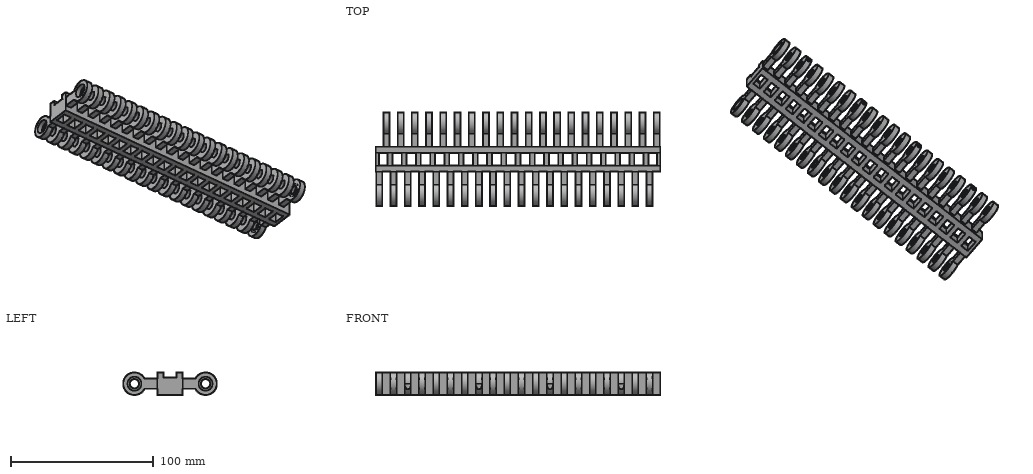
import cadquery as cq
length = 200.0
height = 16.0
pitch = 10.0
knuckle_count = int(length / pitch)
mid_height = height / 2

spine_width = 17.5
channel_width = 9.0
channel_depth = 3.5
window_length = 6.5
window_width = 8.5
end_wall = 2.5

knuckle_radius = height / 2
knuckle_clearance = 0.3
knuckle_width = pitch / 2 - 2 * knuckle_clearance
knuckle_offset = 25.0
arm_height = 7.5
bore_diameter = 6.5

recess_diameter = 9.8
recess_depth = 3.5

notch_radius = 2.8
notch_depth = 1.0
first_notched = 2
notch_interval = 5


def make_spine():
    """Bar with a full-length top channel and a row of windows through its floor."""
    spine = cq.Workplane("XY").box(length, spine_width, height, centered=(False, True, False))
    channel = (
        cq.Workplane("XY")
        .workplane(offset=height - channel_depth)
        .box(length, channel_width, channel_depth, centered=(False, True, False))
    )
    window_centres = [((i + 0.5) * pitch, 0) for i in range(knuckle_count)]
    windows = (
        cq.Workplane("XY")
        .pushPoints(window_centres)
        .rect(window_length, window_width)
        .extrude(height)
    )
    window_zone = cq.Workplane("XY").box(length - 2 * end_wall, window_width, height).translate(
        (length / 2, 0, mid_height)
    )
    return spine.cut(channel).cut(windows.intersect(window_zone))


def disc(x_start, y_centre, diameter, width):
    """Cylinder along X, centred on a hinge axis."""
    return (
        cq.Workplane("YZ", origin=(x_start, y_centre, mid_height))
        .circle(diameter / 2)
        .extrude(width)
    )


def make_knuckle(x_start, side):
    """Bored ring and arm on one side (-1 front, +1 back), reaching the spine wall."""
    y_axis = side * knuckle_offset
    arm_length = knuckle_offset - spine_width / 2
    arm = cq.Workplane("XY").box(knuckle_width, arm_length, arm_height).translate(
        (x_start + knuckle_width / 2, y_axis - side * arm_length / 2, mid_height)
    )
    knuckle = arm.union(disc(x_start, y_axis, 2 * knuckle_radius, knuckle_width))
    return knuckle.cut(disc(x_start, y_axis, bore_diameter, knuckle_width))


def make_row(row_start, side):
    """List of the knuckles of one row, with recesses in the two outer end faces."""
    starts = [row_start + i * pitch for i in range(knuckle_count)]
    knuckles = [make_knuckle(x_start, side) for x_start in starts]
    y_axis = side * knuckle_offset
    last_recess_start = starts[-1] + knuckle_width - recess_depth
    knuckles[0] = knuckles[0].cut(disc(starts[0], y_axis, recess_diameter, recess_depth))
    knuckles[-1] = knuckles[-1].cut(disc(last_recess_start, y_axis, recess_diameter, recess_depth))
    return knuckles


def make_notch(x_centre):
    """Upright cutter that scoops the lower half of a front knuckle's outer rim."""
    y_centre = -(knuckle_offset + knuckle_radius - notch_depth + notch_radius)
    return cq.Workplane("XY").center(x_centre, y_centre).circle(notch_radius).extrude(mid_height)


front_start = knuckle_clearance
back_start = front_start + pitch / 2

result = make_spine()
for knuckle in make_row(front_start, -1) + make_row(back_start, 1):
    result = result.union(knuckle)
for i in range(first_notched, knuckle_count, notch_interval):
    result = result.cut(make_notch(front_start + i * pitch + knuckle_width / 2))